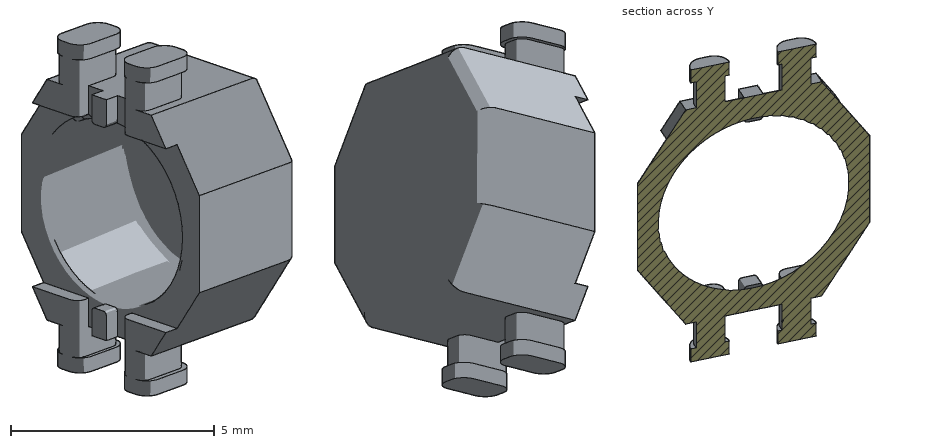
import cadquery as cq
import math

HEIGHT = 8.63
BODY_WIDTH = 6.1
BODY_HEIGHT = 6.335
BODY_DEPTH = 3.51
TOP_FLAT = 3.57
SIDE_FLAT = 2.555
BACK_FILLET = 0.4

BORE_RADIUS = 2.4
FLOOR_THICKNESS = 0.4
FLOOR_FILLET = 0.25
LIP_FILLET = 0.13

PAD_RISE = 0.4
PAD_HEIGHT = 0.75
TAB_WIDTH = 0.5
TAB_FILLET = 0.1

POST_SPACING = 2.29
POST_FLAT = 0.23
POST_RADIUS = 0.25
POST_DEPTH = 1.5
HEAD_OVERHANG = 0.14
HEAD_THICKNESS = 0.4
HEAD_BLEND_ANGLE = 15.0

pad_inner_z = BODY_HEIGHT / 2 - PAD_HEIGHT
post_x = POST_SPACING / 2
head_radius = POST_RADIUS + HEAD_OVERHANG
head_width = POST_FLAT + 2 * head_radius
head_depth = POST_DEPTH + HEAD_OVERHANG


def octagon(depth):
    """Octagonal prism running from Y = 0 towards +Y (or -Y for a negative depth)."""
    corners = [
        (BODY_WIDTH / 2, SIDE_FLAT / 2),
        (TOP_FLAT / 2, BODY_HEIGHT / 2),
        (-TOP_FLAT / 2, BODY_HEIGHT / 2),
        (-BODY_WIDTH / 2, SIDE_FLAT / 2),
        (-BODY_WIDTH / 2, -SIDE_FLAT / 2),
        (-TOP_FLAT / 2, -BODY_HEIGHT / 2),
        (TOP_FLAT / 2, -BODY_HEIGHT / 2),
        (BODY_WIDTH / 2, -SIDE_FLAT / 2),
    ]
    return cq.Workplane("XZ").polyline(corners).close().extrude(-depth)


def cup():
    """Octagon with a rounded back edge and a blind bore with a rounded floor and lip."""
    body = octagon(BODY_DEPTH).faces(">Y").edges().fillet(BACK_FILLET)
    bore = cq.Workplane("XZ").circle(BORE_RADIUS).extrude(FLOOR_THICKNESS - BODY_DEPTH)
    bore = bore.faces(">Y").edges().fillet(FLOOR_FILLET)
    body = body.cut(bore)
    return body.faces("<Y").edges("%CIRCLE").fillet(LIP_FILLET)


def box(x_min, x_max, y_min, y_max, z_min, z_max):
    """Box spanning the given limits."""
    size = (x_max - x_min, y_max - y_min, z_max - z_min)
    return cq.Workplane("XY").box(*size, centered=False).translate((x_min, y_min, z_min))


def tab():
    """Narrow centre pad above the bore, rounded along its two lower edges."""
    block = box(-TAB_WIDTH / 2, TAB_WIDTH / 2, -PAD_RISE, 0, pad_inner_z, BODY_HEIGHT / 2)
    return block.faces("<Z").edges("|Y").fillet(TAB_FILLET)


def corner_pad():
    """Front pad from the post centre out to the sloped side of the octagon."""
    block = box(post_x, BODY_WIDTH / 2, -PAD_RISE, 0, pad_inner_z, BODY_HEIGHT / 2)
    return block.intersect(octagon(-PAD_RISE))


def post():
    """Post whose inner front corner starts on the head's curve before tightening."""
    angle = math.radians(HEAD_BLEND_ANGLE)
    outer_x = post_x + POST_FLAT / 2 + POST_RADIUS
    flat_x = post_x - POST_FLAT / 2
    back_y = POST_DEPTH - PAD_RISE

    def arc_point(center, radius, turn):
        return (center[0] - radius * math.sin(turn), center[1] - radius * math.cos(turn))

    head_center = (flat_x, head_radius - PAD_RISE)
    blend = arc_point(head_center, head_radius, angle)
    tight_center = arc_point(head_center, HEAD_OVERHANG, angle)
    middle = arc_point(tight_center, POST_RADIUS, (angle + math.pi / 2) / 2)
    inner = arc_point(tight_center, POST_RADIUS, math.pi / 2)

    profile = (
        cq.Workplane("XY", origin=(0, 0, pad_inner_z))
        .moveTo(outer_x, -PAD_RISE)
        .lineTo(flat_x, -PAD_RISE)
        .threePointArc(arc_point(head_center, head_radius, angle / 2), blend)
        .threePointArc(middle, inner)
        .lineTo(inner[0], back_y)
        .lineTo(outer_x, back_y)
        .close()
    )
    shank = profile.extrude(HEIGHT / 2 - pad_inner_z)
    return shank.edges("|Z and (>X or >Y)").fillet(POST_RADIUS)


def head():
    """Rounded head at the end of a post, flush with the post at the front."""
    block = box(
        post_x - head_width / 2,
        post_x + head_width / 2,
        -PAD_RISE,
        head_depth - PAD_RISE,
        HEIGHT / 2 - HEAD_THICKNESS,
        HEIGHT / 2,
    )
    return block.edges("|Z").fillet(head_radius)


upper_right = corner_pad().union(post()).union(head())
upper = upper_right.union(upper_right.mirror("YZ")).union(tab())
result = cup().union(upper).union(upper.mirror("XY"))